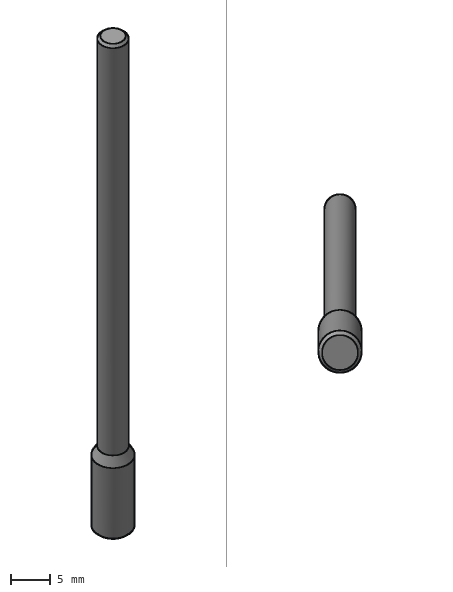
import cadquery as cq

total_length = 80.0
shank_diameter = 4.0
head_diameter = 5.5
head_length = 13.4
shoulder_length = 1.4
shank_tip_chamfer = 0.4
head_end_chamfer = 0.5

shank_length = total_length - head_length
shank_radius = shank_diameter / 2
head_radius = head_diameter / 2


def make_head():
    """Round head with a chamfered lower end and a shoulder tapering to the shank."""
    half_profile = [
        (0, 0),
        (head_radius - head_end_chamfer, 0),
        (head_radius, head_end_chamfer),
        (head_radius, head_length - shoulder_length),
        (shank_radius, head_length),
        (0, head_length),
    ]
    return cq.Workplane("XZ").polyline(half_profile).close().revolve(360, (0, 0), (0, 1))


def make_shank():
    """Plain round shank standing on the head, chamfered at its free end."""
    shank = cq.Workplane("XY").workplane(offset=head_length).circle(shank_radius).extrude(shank_length)
    return shank.faces(">Z").edges().chamfer(shank_tip_chamfer)


head = make_head()
shank = make_shank()

result = cq.Compound.makeCompound([head.val(), shank.val()])